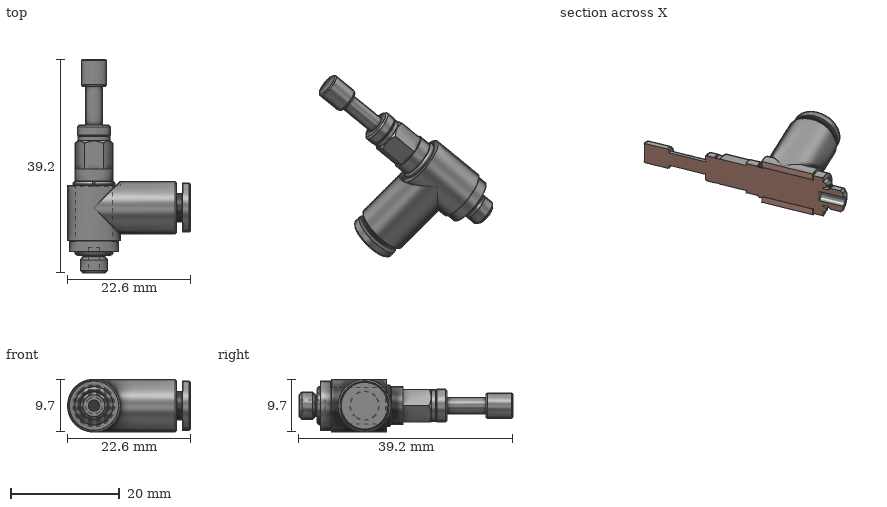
import cadquery as cq
import math


OVERALL_WIDTH = 22.55
BODY_DIAMETER = 9.7
BODY_RADIUS = BODY_DIAMETER / 2
BARREL_TOP = 4.05
BARREL_BOTTOM = -6.05
ARM_END = 15.2
ARM_CHAMFER = 0.35

NECK_RADIUS = 2.6
RELEASE_RADIUS = 4.5
RELEASE_START = 16.3
RELEASE_END = OVERALL_WIDTH - BODY_RADIUS
RELEASE_CHAMFER = 0.25
NECK_FLARE_LENGTH = 0.15
NECK_FLARE_HEIGHT = 0.08

OVERALL_LENGTH = 39.25
TIP_Y = -12.0
THREAD_RADIUS = 2.5
TIP_CHAMFER = 0.5
THREAD_TOP = -9.58
RELIEF_RADIUS = 2.0
RELIEF_BOTTOM = -9.0
HOLE_RADIUS = 1.02
HOLE_DEPTH = 4.7
FLANGE_RADIUS = 4.5
FLANGE_BOTTOM = -8.1
FLANGE_GAP = 0.1
FLANGE_TOP = BARREL_BOTTOM - FLANGE_GAP
SHANK_RADIUS = 3.38
COLLAR_RADIUS = 3.5
COLLAR_BOTTOM = 4.9
COLLAR_TOP = 7.1

HEX_ACROSS_FLATS = 6.0
HEX_CORNER_RADIUS = HEX_ACROSS_FLATS / math.sqrt(3)
HEX_TOP = 12.3
HEX_BEVEL_HEIGHT = 0.47

UPPER_NECK_RADIUS = 2.95
UPPER_NECK_TOP = 13.05
NUT_RADIUS = 3.02
NUT_GROOVE_RADIUS = 2.85
NUT_BOTTOM = 13.35
NUT_BEVEL_HEIGHT = 0.2
NUT_TOP = 15.15
NUT_CHAMFER = 0.3
ROD_RADIUS = 1.55
KNOB_RADIUS = 2.3
KNOB_BOTTOM = 22.25
KNOB_BOTTOM_CHAMFER_LENGTH = 0.35
KNOB_BOTTOM_CHAMFER_DEPTH = 0.2
KNOB_TOP_CHAMFER = 0.25
KNOB_TOP = TIP_Y + OVERALL_LENGTH

GASKET_TUBE_RADIUS = 0.65
GASKET_OUTER_RADIUS = 3.55
SNAP_TUBE_RADIUS = 0.47
SNAP_OUTER_RADIUS = 3.85
SNAP_RING_Y = 4.35
SNAP_GAP_WIDTH = 0.47


def cylinder_y(radius, y_start, y_end):
    """Cylinder on the Y axis between two Y positions."""
    base = cq.Workplane("XZ", origin=(0, y_start, 0))
    return base.circle(radius).extrude(y_start - y_end)


def ring_y(outer_radius, tube_radius, y):
    """Round-section ring around the Y axis."""
    tube = cq.Workplane("XY").center(outer_radius - tube_radius, y).circle(tube_radius)
    return tube.revolve(360, (tube_radius - outer_radius, 0), (tube_radius - outer_radius, 1))


def turned_y(profile):
    """Solid turned around Y from (radius, y) points that run between two points on the axis."""
    return cq.Workplane("XY").polyline(profile).close().revolve(360, (0, 0), (0, 1))


def make_elbow():
    barrel = cylinder_y(BODY_RADIUS, BARREL_BOTTOM, BARREL_TOP)
    arm_profile = [
        (0, 0),
        (0, BODY_RADIUS),
        (ARM_END - ARM_CHAMFER, BODY_RADIUS),
        (ARM_END, BODY_RADIUS - ARM_CHAMFER),
        (ARM_END, NECK_RADIUS),
        (RELEASE_START - NECK_FLARE_LENGTH, NECK_RADIUS),
        (RELEASE_START, NECK_RADIUS + NECK_FLARE_HEIGHT),
        (RELEASE_START, RELEASE_RADIUS),
        (RELEASE_END - RELEASE_CHAMFER, RELEASE_RADIUS),
        (RELEASE_END, RELEASE_RADIUS - RELEASE_CHAMFER),
        (RELEASE_END, 0),
    ]
    arm = cq.Workplane("XY").polyline(arm_profile).close().revolve(360, (0, 0), (1, 0))
    clearance = cylinder_y(BODY_RADIUS, BARREL_TOP, BODY_RADIUS)
    bore = cylinder_y(SHANK_RADIUS, BARREL_BOTTOM, BARREL_TOP)
    snap_ring_seat = ring_y(SNAP_OUTER_RADIUS, SNAP_TUBE_RADIUS, SNAP_RING_Y)
    return arm.cut(clearance).union(barrel).cut(bore).cut(snap_ring_seat)


def make_lower_stem():
    """Thread, relief, flange, shank and plain collar, with a blind hole in the tip."""
    profile = [
        (0, TIP_Y),
        (THREAD_RADIUS - TIP_CHAMFER, TIP_Y),
        (THREAD_RADIUS, TIP_Y + TIP_CHAMFER),
        (THREAD_RADIUS, THREAD_TOP),
        (RELIEF_RADIUS, RELIEF_BOTTOM),
        (RELIEF_RADIUS, FLANGE_BOTTOM),
        (FLANGE_RADIUS, FLANGE_BOTTOM),
        (FLANGE_RADIUS, FLANGE_TOP),
        (SHANK_RADIUS, FLANGE_TOP),
        (SHANK_RADIUS, COLLAR_BOTTOM),
        (COLLAR_RADIUS, COLLAR_BOTTOM),
        (COLLAR_RADIUS, COLLAR_TOP),
        (0, COLLAR_TOP),
    ]
    hole = cylinder_y(HOLE_RADIUS, TIP_Y, TIP_Y + HOLE_DEPTH)
    return turned_y(profile).cut(hole)


def make_hexagon():
    """Hexagon with corners on +X and -X, its upper corners bevelled by a cone."""
    base = cq.Workplane("XZ", origin=(0, COLLAR_TOP, 0))
    prism = base.polygon(6, 2 * HEX_CORNER_RADIUS).extrude(COLLAR_TOP - HEX_TOP)
    bevel = turned_y([
        (0, COLLAR_TOP),
        (HEX_CORNER_RADIUS, COLLAR_TOP),
        (HEX_CORNER_RADIUS, HEX_TOP - HEX_BEVEL_HEIGHT),
        (UPPER_NECK_RADIUS, HEX_TOP),
        (0, HEX_TOP),
    ])
    return prism.intersect(bevel)


def make_upper_stem():
    """Neck, lock nut, rod and knob above the hexagon."""
    return turned_y([
        (0, HEX_TOP),
        (UPPER_NECK_RADIUS, HEX_TOP),
        (UPPER_NECK_RADIUS, UPPER_NECK_TOP),
        (NUT_GROOVE_RADIUS, UPPER_NECK_TOP),
        (NUT_GROOVE_RADIUS, NUT_BOTTOM - NUT_BEVEL_HEIGHT),
        (NUT_RADIUS, NUT_BOTTOM),
        (NUT_RADIUS, NUT_TOP - NUT_CHAMFER),
        (NUT_RADIUS - NUT_CHAMFER, NUT_TOP),
        (ROD_RADIUS, NUT_TOP),
        (ROD_RADIUS, KNOB_BOTTOM),
        (KNOB_RADIUS - KNOB_BOTTOM_CHAMFER_DEPTH, KNOB_BOTTOM),
        (KNOB_RADIUS, KNOB_BOTTOM + KNOB_BOTTOM_CHAMFER_LENGTH),
        (KNOB_RADIUS, KNOB_TOP - KNOB_TOP_CHAMFER),
        (KNOB_RADIUS - KNOB_TOP_CHAMFER, KNOB_TOP),
        (0, KNOB_TOP),
    ])


def make_snap_ring():
    """Round-wire ring with a gap on its +Z side."""
    ring = ring_y(SNAP_OUTER_RADIUS, SNAP_TUBE_RADIUS, SNAP_RING_Y)
    gap = cq.Workplane("XY", origin=(0, SNAP_RING_Y, 0)).rect(SNAP_GAP_WIDTH, 4 * SNAP_TUBE_RADIUS)
    return ring.cut(gap.extrude(BODY_RADIUS))


def make_stem():
    gasket = ring_y(GASKET_OUTER_RADIUS, GASKET_TUBE_RADIUS, FLANGE_BOTTOM)
    stem = make_lower_stem().union(make_hexagon()).union(make_upper_stem())
    return stem.union(gasket).union(make_snap_ring())


elbow = make_elbow()
stem = make_stem()

result = cq.Compound.makeCompound([elbow.val(), stem.val()])